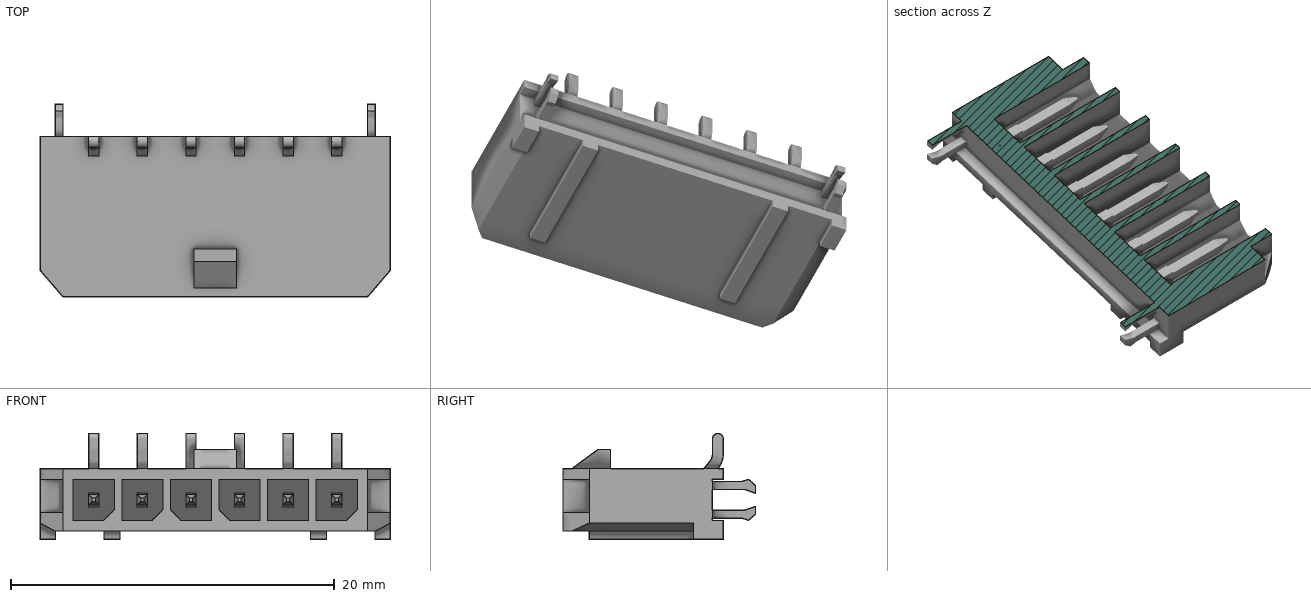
import cadquery as cq
import math

housing_width = 21.64
housing_depth = 9.91
housing_height = 3.86
front_y = 0.0
back_y = front_y + housing_depth
side_x = housing_width / 2

circuit_count = 6
pitch = 3.0
row_start_x = -(circuit_count - 1) * pitch / 2
contact_z = housing_height / 2

cavity_size = 2.54
cavity_depth = 7.5
cavity_bevel = 0.66
cavity_keys = [1, 1, -1, -1, 0, 1]
wall = (housing_height - cavity_size) / 2

corner_x = 1.41
corner_y = 1.64
recess_height = 2.06

channel_depth = 0.68

bevel_width = 0.92
bevel_height = 0.5
foot_drop = 0.52
foot_width = 0.97
foot_length = 1.86
rail_width = 1.0
rail_x = 6.38
rail_front_y = 1.62

latch_width = 2.6
latch_height = 1.19
latch_back_y = 2.95
latch_crest_y = 2.17
latch_front_y = 0.56

pin_size = 0.64
pin_tip_y = 2.0
pin_tip_length = 0.82
pin_tip_size = 0.2
shoulder_height = 0.87
shoulder_length = 1.0

tail_thickness = 0.68
tail_top_z = housing_height + 2.17
tail_bend_z = housing_height + 0.93
tail_bend_radius = 0.8
tail_lean = 40.0
tail_root_z = housing_height - 0.3

clip_x = 9.64
clip_width = 0.5
clip_reach = 1.99
prong_outer = 1.14
prong_inner = 0.63
barb_outer = 1.27
barb_y = back_y + 1.56
barb_start_y = back_y + 1.15
neck_y = back_y + 1.33
nose_outer = 0.88
nose_inner = 0.4


def box(x_min, x_max, y_min, y_max, z_min, z_max):
    size = (x_max - x_min, y_max - y_min, z_max - z_min)
    return cq.Workplane("XY").box(*size, centered=False).translate((x_min, y_min, z_min))


def side_profile(points, width, x_center):
    """Prism of a closed (y, z) polygon, centred on x_center."""
    prism = cq.Workplane("YZ").polyline(points).close().extrude(width / 2, both=True)
    return prism.translate((x_center, 0, 0))


def both_ends(shape):
    return shape.union(shape.mirror("YZ"))


def make_housing():
    outline = [
        (-side_x, back_y),
        (side_x, back_y),
        (side_x, front_y + corner_y),
        (side_x - corner_x, front_y),
        (-side_x + corner_x, front_y),
        (-side_x, front_y + corner_y),
    ]
    return cq.Workplane("XY").polyline(outline).close().extrude(housing_height)


def make_corner_recess():
    top_z = housing_height - wall
    return box(side_x - corner_x, side_x, front_y, front_y + corner_y, top_z - recess_height, top_z)


def make_side_bevel():
    triangle = [(side_x, 0), (side_x - bevel_width, 0), (side_x, bevel_height)]
    length = housing_depth - foot_length
    prism = cq.Workplane("XZ").polyline(triangle).close().extrude(-length)
    return prism.translate((0, front_y, 0))


def make_back_channel():
    return box(-side_x, side_x, back_y - channel_depth, back_y, wall, housing_height - wall)


def make_foot():
    return box(side_x - foot_width, side_x, back_y - foot_length, back_y, -foot_drop, 0)


def make_rail():
    half_width = rail_width / 2
    return box(rail_x - half_width, rail_x + half_width, rail_front_y, back_y, -foot_drop, 0)


def make_latch():
    crest_z = housing_height + latch_height
    ramp = [
        (latch_back_y, housing_height),
        (latch_back_y, crest_z),
        (latch_crest_y, crest_z),
        (latch_front_y, housing_height),
    ]
    return side_profile(ramp, latch_width, 0)


def make_cavity(x_center, key):
    half_size = cavity_size / 2
    cavity = box(-half_size, half_size, front_y, front_y + cavity_depth, wall, housing_height - wall)
    if key != 0:
        corner_edge = "|Y and <Z and >X" if key > 0 else "|Y and <Z and <X"
        cavity = cavity.edges(corner_edge).chamfer(cavity_bevel)
    return cavity.translate((x_center, 0, 0))


def make_pin(x_center):
    """Square pin with a tapered tip and a taller shoulder where it leaves the cavity floor."""
    shank_y = pin_tip_y + pin_tip_length
    root_y = front_y + cavity_depth
    half_size = pin_size / 2
    half_shoulder = shoulder_height / 2
    shank = box(
        -half_size, half_size,
        shank_y, root_y,
        contact_z - half_size, contact_z + half_size,
    )
    shoulder = box(
        -half_size, half_size,
        root_y - shoulder_length, root_y,
        contact_z - half_shoulder, contact_z + half_shoulder,
    )
    tip = (
        cq.Workplane("XZ", origin=(0, shank_y, contact_z))
        .rect(pin_size, pin_size)
        .workplane(offset=pin_tip_length)
        .rect(pin_tip_size, pin_tip_size)
        .loft(ruled=True)
    )
    return shank.union(shoulder).union(tip).translate((x_center, 0, 0))


def make_tail(x_center):
    """Upright tail, rounded at the top, that bends forward into the top of the housing."""
    outer_y = back_y
    inner_y = back_y - tail_thickness
    cap_radius = tail_thickness / 2
    cap_z = tail_top_z - cap_radius
    bend_y = inner_y - tail_bend_radius
    outer_radius = tail_bend_radius + tail_thickness
    lean = math.radians(tail_lean)

    def bend_point(radius, angle):
        return (bend_y + radius * math.cos(angle), tail_bend_z - radius * math.sin(angle))

    def root_point(radius):
        start_y, start_z = bend_point(radius, lean)
        drop = start_z - tail_root_z
        return (start_y - drop * math.tan(lean), tail_root_z)

    profile = (
        cq.Workplane("YZ")
        .moveTo(outer_y, tail_bend_z)
        .lineTo(outer_y, cap_z)
        .threePointArc((outer_y - cap_radius, tail_top_z), (inner_y, cap_z))
        .lineTo(inner_y, tail_bend_z)
        .threePointArc(bend_point(tail_bend_radius, lean / 2), bend_point(tail_bend_radius, lean))
        .lineTo(*root_point(tail_bend_radius))
        .lineTo(*root_point(outer_radius))
        .lineTo(*bend_point(outer_radius, lean))
        .threePointArc(bend_point(outer_radius, lean / 2), (outer_y, tail_bend_z))
        .close()
    )
    return profile.extrude(pin_size / 2, both=True).translate((x_center, 0, 0))


def make_prong(direction):
    """One clip prong, above (+1) or below (-1) the contact row."""
    root_y = back_y - channel_depth
    tip_y = back_y + clip_reach
    offsets = [
        (root_y, prong_outer),
        (barb_start_y, prong_outer),
        (barb_y, barb_outer),
        (tip_y, nose_outer),
        (tip_y, nose_inner),
        (neck_y, prong_inner),
        (root_y, prong_inner),
    ]
    points = [(y, contact_z + direction * offset) for y, offset in offsets]
    return side_profile(points, clip_width, clip_x)


result = make_housing()
result = result.cut(both_ends(make_corner_recess()))
result = result.cut(both_ends(make_side_bevel()))
result = result.cut(make_back_channel())
result = result.union(both_ends(make_foot()))
result = result.union(both_ends(make_rail()))
result = result.union(make_latch())

for index, key in enumerate(cavity_keys):
    contact_x = row_start_x + index * pitch
    result = result.cut(make_cavity(contact_x, key))
    result = result.union(make_pin(contact_x))
    result = result.union(make_tail(contact_x))

for direction in (1, -1):
    result = result.union(both_ends(make_prong(direction)))